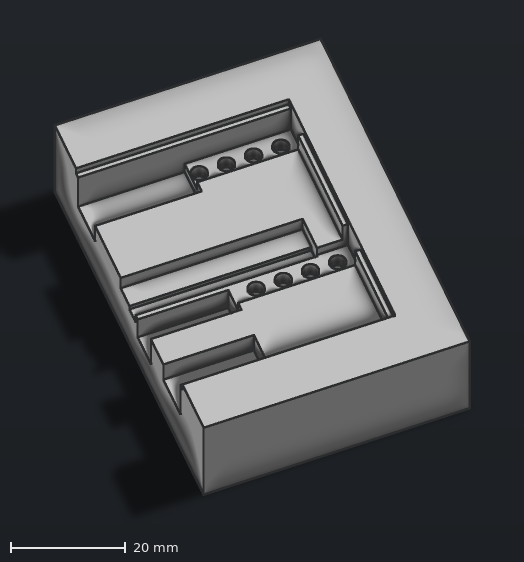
import cadquery as cq

LENGTH = 70.0
WIDTH = 50.0
HEIGHT = 20.0

BORDER = 10.0
REBATE_DEPTH = 1.5
LEDGE = 1.0
rebate_left = BORDER
rebate_right = LENGTH - BORDER
rebate_back = WIDTH - BORDER

POCKET_DEPTH = 5.6
pocket_left = rebate_left + LEDGE
pocket_right = rebate_right - LEDGE
pocket_back = rebate_back - LEDGE

CHANNEL_WIDTH = 5.9
CHANNEL_DEPTH = 7.7
CHANNEL_PITCH = 26.75
channel_lefts = [pocket_left, pocket_left + CHANNEL_PITCH]

SIDE_SLOT_WIDTH = 8.0
SIDE_SLOT_DEPTH = 10.15
LEFT_SLOT_LENGTH = 20.0
RIGHT_SLOT_LENGTH = 17.0
DEEP_SLOT_LEFT = 39.0
DEEP_SLOT_WIDTH = 6.15
DEEP_SLOT_DEPTH = 13.0

STEP_SLOT_LEFT = 31.0
STEP_SLOT_MIDDLE = 35.15
STEP_SLOT_RIGHT = 38.0
STEP_SLOT_LENGTH = 34.15
SHALLOW_STEP_DEPTH = 8.7
DEEP_STEP_DEPTH = 9.65

HOLE_DIAMETER = 3.0
HOLE_DEPTH = 3.0
HOLE_COUNT = 4
HOLE_PITCH = 5.1
HOLE_OFFSET = 2.8
FIRST_HOLE_SETBACK = 3.0


def front_slot(left, right, back, depth):
    """Box that opens at the front and the top, with its floor at the depth below the top."""
    return cq.Workplane("XY").box(right - left, back, depth, centered=False).translate(
        (left, 0, HEIGHT - depth)
    )


def hole_row(channel_left):
    """Row of holes running back to front in a channel floor."""
    centers = [
        (channel_left + HOLE_OFFSET, rebate_back - FIRST_HOLE_SETBACK - i * HOLE_PITCH)
        for i in range(HOLE_COUNT)
    ]
    floor = HEIGHT - CHANNEL_DEPTH
    return (
        cq.Workplane("XY", origin=(0, 0, floor - HOLE_DEPTH))
        .pushPoints(centers)
        .circle(HOLE_DIAMETER / 2)
        .extrude(HOLE_DEPTH)
    )


result = cq.Workplane("XY").box(LENGTH, WIDTH, HEIGHT, centered=False)

result = result.cut(front_slot(rebate_left, rebate_right, rebate_back, REBATE_DEPTH))
result = result.cut(front_slot(pocket_left, pocket_right, pocket_back, POCKET_DEPTH))

for channel_left in channel_lefts:
    channel_right = channel_left + CHANNEL_WIDTH
    result = result.cut(front_slot(channel_left, channel_right, rebate_back, CHANNEL_DEPTH))
    result = result.cut(hole_row(channel_left))

front_slots = [
    (pocket_left, pocket_left + SIDE_SLOT_WIDTH, LEFT_SLOT_LENGTH, SIDE_SLOT_DEPTH),
    (pocket_right - SIDE_SLOT_WIDTH, pocket_right, RIGHT_SLOT_LENGTH, SIDE_SLOT_DEPTH),
    (DEEP_SLOT_LEFT, DEEP_SLOT_LEFT + DEEP_SLOT_WIDTH, RIGHT_SLOT_LENGTH, DEEP_SLOT_DEPTH),
    (STEP_SLOT_LEFT, STEP_SLOT_MIDDLE, STEP_SLOT_LENGTH, SHALLOW_STEP_DEPTH),
    (STEP_SLOT_MIDDLE, STEP_SLOT_RIGHT, STEP_SLOT_LENGTH, DEEP_STEP_DEPTH),
]
for left, right, back, depth in front_slots:
    result = result.cut(front_slot(left, right, back, depth))